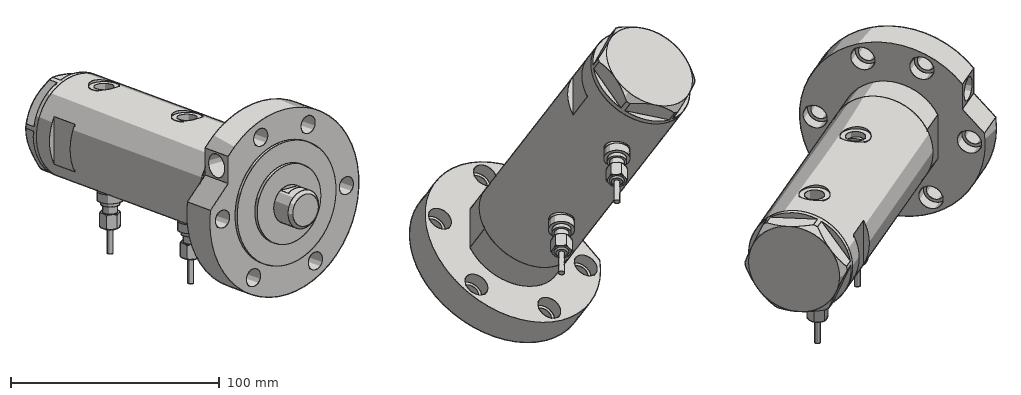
import cadquery as cq
import math


barrel_radius = 26.0
bore_radius = 17.9
rod_radius = 9.7
flat_distance = 46.0 / 2
total_length = 179
total_height = 105.3

hex_end = 8.6
cap_collar_end = 11.0
cap_plug_end = 34.7
gland_start = 94.5
barrel_end = 130.7
flange_start = 146.5
flange_end = 163.5
spigot_end = 165.0
gland_end = 166.8

hex_turn = 7.5
hex_chamfer_length = 2.9

barrel_flats_start = 20.5
barrel_flats_end = 35.8
port_places = (30.5, 91.7)
port_radius = 4.8
port_seat_radius = 7.5
port_seat_height = 24.7
sensor_places = (34.9, 94.3)
sensor_boss_height = 26.9

flange_radius = 94.0 / 2
spigot_radius = 31.1
gland_radius = 20.0
gland_shoulder_radius = 21.8
bolt_circle_radius = 39.0
bolt_angles = (0, 67.5, 112.5, 180, 240, 300)
bolt_hole_radius = 4.5
bolt_seat_radius = 6.0
bolt_seat_depth = 6.6
notch_depth_y = 35.5
notch_corner_z = 17.2
cross_hole_radius = 5.9
cross_hole_z = 24.0

rod_flats_end = 172.5
rod_flat_distance = 8.0
rod_chamfer = 1.6

sensor_head_radius = 6.3
sensor_head_low = 31.3
sensor_shoulder_radius = 4.7
sensor_shoulder_low = 33.5
sensor_neck_radius = 3.5
sensor_neck_low = 37.5
sensor_nut_flat_distance = 4.5
sensor_nut_low = 45.0
sensor_nut_chamfer = 0.5
sensor_cone_top_radius = 3.5
sensor_cone_low_radius = 2.7
sensor_cone_low = 45.8
cable_radius = 1.5
cable_low = total_height - flange_radius


def disc(start, end, radius):
    """Cylinder on the X axis between two stations."""
    return cq.Workplane("YZ").workplane(offset=start).circle(radius).extrude(end - start)


def post(x, low, high, radius):
    """Upright cylinder at station x, between two heights."""
    return cq.Workplane("XY", origin=(x, 0, low)).circle(radius).extrude(high - low)


def slab(start, end, half_width):
    """Block, taller than any body, with the two side faces that flats facing -Y and +Y lie on."""
    height = 2 * flange_radius
    return cq.Workplane("YZ").workplane(offset=start).rect(2 * half_width, height).extrude(end - start)


def with_flats(body, start, end, radius, half_width):
    """Cut two flats into a turned part between two stations."""
    waste = disc(start, end, radius).cut(slab(start, end, half_width))
    return body.cut(waste)


def make_cap():
    corner_radius = flat_distance / math.cos(math.radians(30))
    hexagon = (
        cq.Workplane("YZ")
        .polygon(6, 2 * corner_radius)
        .extrude(hex_end)
        .rotate((0, 0, 0), (1, 0, 0), -hex_turn)
    )
    blank = (
        cq.Workplane("XY")
        .moveTo(0, 0)
        .lineTo(0, flat_distance)
        .lineTo(hex_chamfer_length, barrel_radius)
        .lineTo(hex_end, barrel_radius)
        .lineTo(hex_end, 0)
        .close()
        .revolve(360, (0, 0, 0), (1, 0, 0))
    )
    collar = disc(hex_end, cap_collar_end, barrel_radius)
    plug = disc(cap_collar_end, cap_plug_end, bore_radius)
    return hexagon.intersect(blank).union(collar).union(plug)


def make_barrel():
    barrel = disc(cap_collar_end, barrel_end, barrel_radius)
    barrel = with_flats(barrel, barrel_flats_start, barrel_flats_end, barrel_radius, flat_distance)
    for x in sensor_places:
        barrel = barrel.union(post(x, -sensor_boss_height, 0, sensor_head_radius))
    barrel = barrel.cut(disc(cap_collar_end, gland_start, bore_radius))
    barrel = barrel.cut(disc(gland_start, barrel_end, gland_shoulder_radius))
    for x in port_places:
        barrel = barrel.cut(post(x, port_seat_height, barrel_radius, port_seat_radius))
        barrel = barrel.cut(post(x, 0, barrel_radius, port_radius))
    return barrel


def make_head():
    head = disc(barrel_end, flange_start, barrel_radius)
    head = with_flats(head, barrel_end, flange_start, barrel_radius, flat_distance)
    head = head.union(disc(flange_start, flange_end, flange_radius))
    head = head.union(disc(flange_end, spigot_end, spigot_radius))
    head = head.cut(disc(barrel_end, spigot_end, gland_radius))
    head = head.cut(notch()).cut(cross_hole())
    for angle in bolt_angles:
        head = head.cut(bolt_hole(math.radians(angle)))
    return head


def notch():
    """Space above a 45 degree slope and outside an upright wall, on the -Y side of the flange."""
    reach = flange_radius - notch_depth_y
    outer_y = -notch_depth_y - reach
    return (
        cq.Workplane("YZ")
        .workplane(offset=flange_start)
        .moveTo(-notch_depth_y, flange_radius)
        .lineTo(-notch_depth_y, notch_corner_z)
        .lineTo(outer_y, notch_corner_z - reach)
        .lineTo(outer_y, flange_radius)
        .close()
        .extrude(flange_end - flange_start)
    )


def cross_hole():
    """Hole along Y through the whole flange, which just uncovers the gland."""
    middle = (flange_start + flange_end) / 2
    return (
        cq.Workplane("XZ", origin=(middle, flange_radius, cross_hole_z))
        .circle(cross_hole_radius)
        .extrude(2 * flange_radius)
    )


def bolt_hole(angle):
    """Through hole with a counterbore that opens on the -X face of the flange."""
    y = -bolt_circle_radius * math.cos(angle)
    z = bolt_circle_radius * math.sin(angle)
    hole = disc(flange_start, flange_end, bolt_hole_radius)
    seat = disc(flange_start, flange_start + bolt_seat_depth, bolt_seat_radius)
    return hole.union(seat).translate((0, y, z))


def make_gland():
    shoulder = disc(gland_start, barrel_end, gland_shoulder_radius)
    sleeve = disc(barrel_end, gland_end, gland_radius)
    return shoulder.union(sleeve).cut(disc(gland_start, gland_end, rod_radius))


def make_rod():
    rod = disc(cap_plug_end, total_length, rod_radius).faces(">X").chamfer(rod_chamfer)
    neck = disc(gland_end, rod_flats_end, rod_radius)
    flats = cq.Workplane("YZ").workplane(offset=gland_end).rect(2 * rod_radius, 2 * rod_flat_distance)
    return rod.cut(neck.cut(flats.extrude(rod_flats_end - gland_end)))


def make_sensor(x):
    head = post(x, -sensor_head_low, -sensor_boss_height, sensor_head_radius)
    shoulder = post(x, -sensor_shoulder_low, -sensor_head_low, sensor_shoulder_radius)
    neck = post(x, -sensor_neck_low, -sensor_shoulder_low, sensor_neck_radius)
    cone = (
        cq.Workplane("XY", origin=(x, 0, -sensor_nut_low))
        .circle(sensor_cone_top_radius)
        .workplane(offset=sensor_nut_low - sensor_cone_low)
        .circle(sensor_cone_low_radius)
        .loft()
    )
    cable = post(x, -cable_low, -sensor_cone_low, cable_radius)
    return head.union(shoulder).union(neck).union(sensor_nut(x)).union(cone).union(cable)


def sensor_nut(x):
    """Hexagon with two corners along X, its points bevelled at both ends."""
    corner_radius = sensor_nut_flat_distance / math.cos(math.radians(30))
    height = sensor_nut_low - sensor_neck_low
    base = cq.Workplane("XY", origin=(x, 0, -sensor_nut_low))
    blank = base.circle(corner_radius).extrude(height).edges().chamfer(sensor_nut_chamfer)
    return base.polygon(6, 2 * corner_radius).extrude(height).intersect(blank)


cap = make_cap()
barrel = make_barrel()
head = make_head()
gland = make_gland()
rod = make_rod()
sensors = [make_sensor(x) for x in sensor_places]

result = cq.Compound.makeCompound(
    [cap.val(), barrel.val(), head.val(), gland.val(), rod.val(), *[sensor.val() for sensor in sensors]]
)